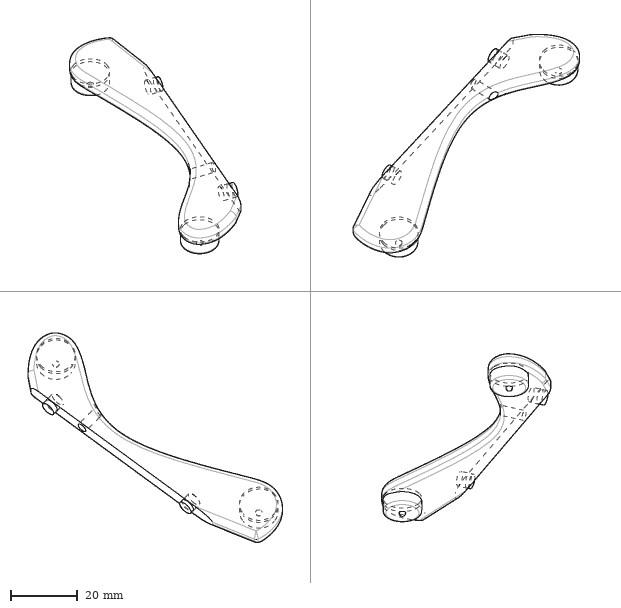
import cadquery as cq

THICKNESS = 5.0
MID_HEIGHT = THICKNESS / 2
TOP_ROUND = 1.8
BOTTOM_ROUND = 1.2
SLANT_BOTTOM_ROUND = 2.0

TRIM_EXCESS = 2.9
TRIM_LENGTH = 96.0

BACK_LEFT = (15.2, 0)
BACK_RIGHT = (86.8, 0)
LEFT_CORNER = (1.2, -3.8)
RIGHT_SHOULDER = (91.0, -3.6)

FRONT_EDGE = [
    LEFT_CORNER,
    (0, -9.5),
    (2.7, -17.8),
    (9.5, -20.9),
    (17.1, -18.8),
    (34.6, -11.3),
    (49.0, -6.7),
    (56.6, -5.8),
    (64.8, -7.0),
    (73.55, -11.6),
    (83.6, -19.0),
    (89.7, -21.0),
    (94.4, -19.1),
    (96, -14.4),
    (94.6, -8.8),
    RIGHT_SHOULDER,
]

FOOT_CENTERS = [(9.6, -14.9), (89.7, -14.9)]
FOOT_DIAMETER = 11.6
FOOT_ROUND = 0.9
NUB_DIAMETER = 2.0
FOOT_DROP = 5.0
FOOT_BOTTOM = NUB_DIAMETER / 2 - FOOT_DROP
FOOT_SEAT_DEPTH = BOTTOM_ROUND

MAGNET_DIAMETER = 4.5
MAGNET_DEPTH = 2.9
MAGNETS = [(24.9, 1.2), (78.6, 1.6)]

CORD_HOLE_DIAMETER = 3.0
CORD_HOLE_X = 66.6
CORD_HOLE_LENGTH = 19.2


def rod_along_y(x, y_front, diameter, length):
    """Cylinder at mid height of the plate, running from y_front towards +Y."""
    start = cq.Vector(x, y_front, MID_HEIGHT)
    rod = cq.Solid.makeCylinder(diameter / 2, length, start, cq.Vector(0, 1, 0))
    return cq.Workplane(rod)


def extend_to_trim(start, on_back):
    """Point where the line from start through on_back reaches TRIM_EXCESS behind the flat back."""
    stretch = (TRIM_EXCESS - start[1]) / (on_back[1] - start[1])
    return (start[0] + stretch * (on_back[0] - start[0]), TRIM_EXCESS)


def make_plate_blank():
    blank = (
        cq.Workplane("XY")
        .moveTo(*extend_to_trim(LEFT_CORNER, BACK_LEFT))
        .lineTo(*LEFT_CORNER)
        .spline(FRONT_EDGE[1:], includeCurrent=True)
        .lineTo(*extend_to_trim(RIGHT_SHOULDER, BACK_RIGHT))
        .close()
        .extrude(THICKNESS)
    )
    blank = blank.faces(">Z").edges("not >Y").fillet(TOP_ROUND)
    slanted_edge = cq.selectors.NearestToPointSelector((*BACK_LEFT, 0))
    blank = blank.faces("<Z").edges("%LINE").edges("not >Y").edges(slanted_edge).fillet(SLANT_BOTTOM_ROUND)
    blank = blank.faces("<Z").edges("%BSPLINE or >X").fillet(BOTTOM_ROUND)
    trim = cq.Workplane("XY").box(TRIM_LENGTH, 2 * TRIM_EXCESS, THICKNESS, centered=(False, False, False))
    return blank.cut(trim)


def make_foot(center):
    foot = (
        cq.Workplane("XY", origin=(*center, FOOT_BOTTOM))
        .circle(FOOT_DIAMETER / 2)
        .extrude(FOOT_SEAT_DEPTH - FOOT_BOTTOM)
        .faces("<Z")
        .edges()
        .fillet(FOOT_ROUND)
    )
    nub = cq.Workplane("XY", origin=(*center, FOOT_BOTTOM)).sphere(NUB_DIAMETER / 2)
    return foot.union(nub)


def make_magnet(x, stand_out):
    return rod_along_y(x, -MAGNET_DEPTH, MAGNET_DIAMETER, MAGNET_DEPTH + stand_out)


feet = [make_foot(center) for center in FOOT_CENTERS]
magnets = [make_magnet(x, stand_out) for x, stand_out in MAGNETS]

plate = make_plate_blank()
plate = plate.cut(rod_along_y(CORD_HOLE_X, -CORD_HOLE_LENGTH, CORD_HOLE_DIAMETER, CORD_HOLE_LENGTH))

for insert in feet + magnets:
    plate = plate.cut(insert)

bodies = [plate, *feet, *magnets]
result = cq.Compound.makeCompound([body.solids().val() for body in bodies])